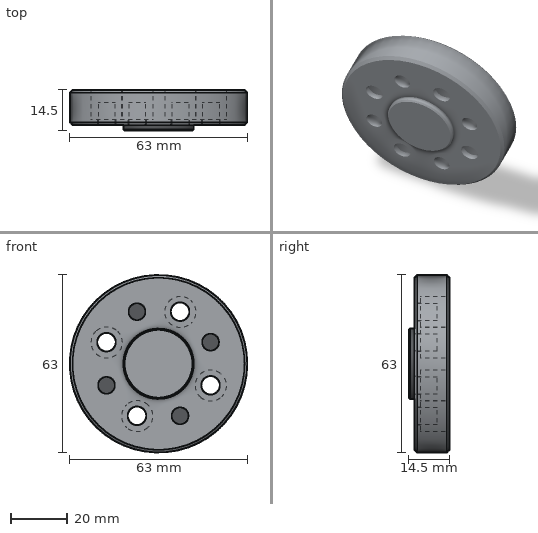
import cadquery as cq

disc_diameter = 63.0
disc_thickness = 12.5
disc_chamfer = 1.0

boss_diameter = 25.0
boss_height = 2.0
boss_chamfer = 0.5

hole_circle_radius = 20.0
hole_count = 8
screw_diameter = 6.5
screw_seat_thickness = 2.0
counterbore_diameter = 11.0
blind_diameter = 6.0
blind_depth = 8.0

hole_pitch = 360.0 / hole_count
screw_start_angle = 1.5 * hole_pitch
blind_start_angle = screw_start_angle + hole_pitch


def round_solid(diameter, start, end):
    """Cylinder on the part's axis between two Y positions."""
    return cq.Workplane("XZ", origin=(0, start, 0)).circle(diameter / 2).extrude(start - end)


def ring_of_cutters(diameter, start, end, start_angle):
    """Cylinders at every second place of the hole ring, between two Y positions."""
    return (
        cq.Workplane("XZ", origin=(0, start, 0))
        .polarArray(hole_circle_radius, start_angle, 360, hole_count // 2)
        .circle(diameter / 2)
        .extrude(start - end)
    )


disc = round_solid(disc_diameter, 0, disc_thickness).edges().chamfer(disc_chamfer)
boss = round_solid(boss_diameter, -boss_height, 0).faces("<Y").edges().chamfer(boss_chamfer)

screw_holes = ring_of_cutters(screw_diameter, 0, disc_thickness, screw_start_angle)
counterbores = ring_of_cutters(
    counterbore_diameter, screw_seat_thickness, disc_thickness, screw_start_angle
)

blind_holes = ring_of_cutters(blind_diameter, 0, blind_depth, blind_start_angle)

result = disc.union(boss).cut(screw_holes).cut(counterbores).cut(blind_holes)